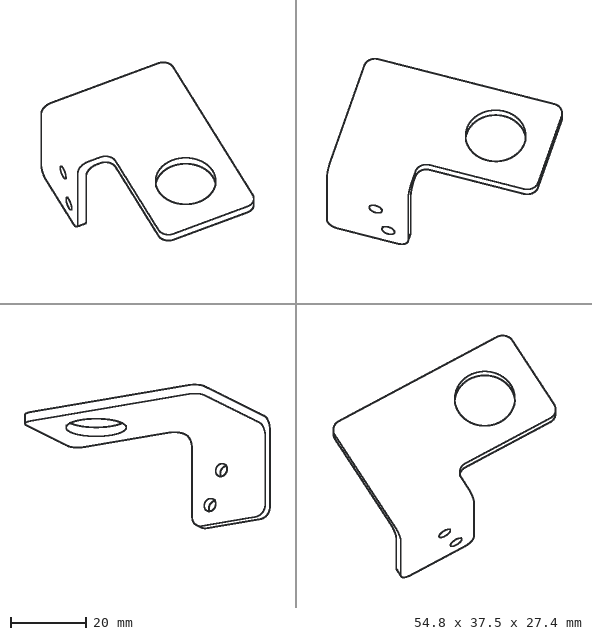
import cadquery as cq

length = 54.75
depth = 37.5
height = 27.4
thickness = 2.5

flange_width = 22.55
arm_depth = 27.8
corner_radius = 3.0
notch_radius = 3.0
bend_outer_radius = 3.0
bend_inner_radius = 3.0

large_hole_diameter = 16.0
large_hole_from_left = 39.75
large_hole_from_back = 14.0

small_hole_diameter = 3.5
small_hole_places = [(13.5, 12.8), (17.0, 21.95)]

arm_front = depth - arm_depth


def bent_strip():
    """Extrude the L-shaped side profile, with its bend, along the full length."""
    profile = (
        cq.Workplane("YZ")
        .polyline([
            (0, 0),
            (depth, 0),
            (depth, -thickness),
            (thickness, -thickness),
            (thickness, -height),
            (0, -height),
        ])
        .close()
        .extrude(length)
    )
    bend_outside = cq.selectors.NearestToPointSelector((length / 2, 0, 0))
    bend_inside = cq.selectors.NearestToPointSelector((length / 2, thickness, -thickness))
    profile = profile.edges(bend_outside).fillet(bend_outer_radius)
    return profile.edges(bend_inside).fillet(bend_inner_radius)


def top_outline():
    """Plan outline of the plate, running through the full height."""
    outline = (
        cq.Workplane("XY")
        .polyline([
            (0, 0),
            (flange_width, 0),
            (flange_width, arm_front),
            (length, arm_front),
            (length, depth),
            (0, depth),
        ])
        .close()
        .extrude(-height)
    )
    outline = outline.edges("|Z and (>X or >Y)").fillet(corner_radius)
    inner_corner = cq.selectors.NearestToPointSelector((flange_width, arm_front, -height / 2))
    return outline.edges(inner_corner).fillet(notch_radius)


def drill(body, workplane, places, diameter):
    """Cut through holes across the sheet along the workplane normal."""
    cutter = workplane.pushPoints(places).circle(diameter / 2).extrude(-thickness)
    return body.cut(cutter)


bracket = bent_strip().intersect(top_outline())

bracket = bracket.faces("<Z").edges("|Y").fillet(corner_radius)

bracket = drill(
    bracket,
    cq.Workplane("XY"),
    [(large_hole_from_left, depth - large_hole_from_back)],
    large_hole_diameter,
)
bracket = drill(
    bracket,
    cq.Workplane("XZ"),
    [(x, -drop) for x, drop in small_hole_places],
    small_hole_diameter,
)

result = bracket